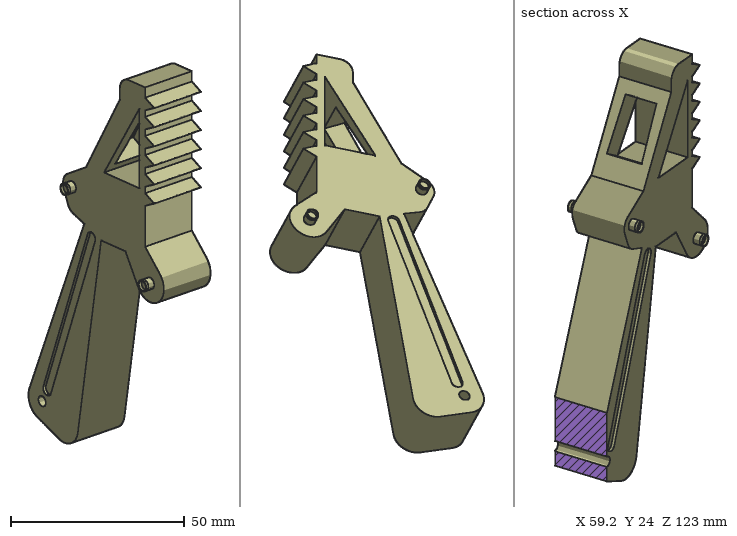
import cadquery as cq
import math


thickness = 18.0
top_z = 54.23

jaw_top_left_x = -11.1
jaw_corner_radius = 4.0
wall_bottom_x = -25.8
wall_bottom_z = 20.9
window_bottom_z = 21.75
window_height = 25.0
window_top_z = window_bottom_z + window_height
front_wall = 2.5
window_width = 15.4

tooth_count = 6
tooth_pitch = 6.0
tooth_base = 4.0
tooth_length = 4.0
first_tooth_z = 49.0

rear_pin = (-31.9, 12.75)
rear_boss_radius = 4.0
rear_heel = (-30.1, 8.3)
rear_notch = (-26.6, 2.8)

arm_pin = (2.2, -6.55)
arm_radius = 6.0
arm_top_z = 4.2
arm_root_x = -8.6

handle_hole = (-44.99, -58.8)
handle_hole_radius = 1.6
handle_corner_radius = 6.0
handle_tip = (-35.3, -62.75)
handle_root_x = -19.2

groove_top = (-23.5, -0.6)
groove_bottom = (-42.75, -54.5)
groove_radius = 1.75
groove_depth = 1.0

opening_start = 7.3
opening_length = 18.0
opening_bottom_width = 12.0
opening_top_width = 10.7
opening_depth = 8.0

pin_radius = 1.75
shank_length = 2.0
tip_length = 1.0
tip_bore_radius = 1.5


def tangent_normal(start, end):
    """Outward normal of the line touching two rounds, both turned anticlockwise."""
    (x0, z0, r0), (x1, z1, r1) = start, end
    heading = math.atan2(z1 - z0, x1 - x0)
    angle = heading - math.acos((r0 - r1) / math.hypot(x1 - x0, z1 - z0))
    return math.cos(angle), math.sin(angle)


def point_on(corner, normal):
    x, z, radius = corner
    return x + radius * normal[0], z + radius * normal[1]


def rounded_outline(corners):
    """Closed outline from anticlockwise (x, z, radius) corners; radius 0 is a sharp corner."""
    count = len(corners)
    normals = [tangent_normal(corners[i], corners[(i + 1) % count]) for i in range(count)]
    outline = cq.Workplane("XZ").moveTo(*point_on(corners[0], normals[0]))
    for i in range(1, count + 1):
        corner = corners[i % count]
        arriving = normals[i - 1]
        leaving = normals[i % count]
        outline = outline.lineTo(*point_on(corner, arriving))
        if corner[2] > 0:
            start_angle = math.atan2(arriving[1], arriving[0])
            sweep = (math.atan2(leaving[1], leaving[0]) - start_angle) % (2 * math.pi)
            middle_angle = start_angle + sweep / 2
            middle = (math.cos(middle_angle), math.sin(middle_angle))
            outline = outline.threePointArc(point_on(corner, middle), point_on(corner, leaving))
    return outline.close()


def make_plate():
    corners = [
        (0, top_z, 0),
        (jaw_top_left_x + jaw_corner_radius, top_z - jaw_corner_radius, jaw_corner_radius),
        (jaw_top_left_x, window_top_z, 0),
        (wall_bottom_x, wall_bottom_z, 0),
        (*rear_pin, rear_boss_radius),
        (*rear_heel, rear_boss_radius),
        (*rear_notch, 0),
        (*handle_hole, handle_corner_radius),
        (*handle_tip, handle_corner_radius),
        (handle_root_x, 0, 0),
        (arm_root_x, 0, 0),
        (*arm_pin, arm_radius),
        (0, arm_top_z, 0),
    ]
    return rounded_outline(corners).extrude(thickness / 2, both=True)


def make_teeth():
    teeth = cq.Workplane("XZ")
    root = -front_wall / 2
    for i in range(tooth_count):
        z = first_tooth_z - i * tooth_pitch
        teeth = teeth.polyline([
            (root, z - tooth_base / 2),
            (0, z - tooth_base / 2),
            (tooth_length, z),
            (0, z + tooth_base / 2),
            (root, z + tooth_base / 2),
        ]).close()
    return teeth.extrude(thickness / 2, both=True)


def make_window():
    right = -front_wall
    points = [
        (right, window_bottom_z),
        (right, window_top_z),
        (right - window_width, window_bottom_z),
    ]
    return cq.Workplane("XZ").polyline(points).close().extrude(thickness, both=True)


def make_wall_opening():
    run = jaw_top_left_x - wall_bottom_x
    slope = math.atan2(window_top_z - wall_bottom_z, run)
    along = cq.Vector(math.cos(slope), 0, math.sin(slope))
    outward = cq.Vector(-math.sin(slope), 0, math.cos(slope))
    origin = cq.Vector(wall_bottom_x, 0, wall_bottom_z)
    opening_end = opening_start + opening_length
    points = [
        (opening_start, -opening_bottom_width / 2),
        (opening_end, -opening_top_width / 2),
        (opening_end, opening_top_width / 2),
        (opening_start, opening_bottom_width / 2),
    ]
    wall_face = cq.Plane(origin=origin, xDir=along, normal=outward)
    return cq.Workplane(wall_face).polyline(points).close().extrude(-opening_depth)


def make_handle_hole():
    return cq.Workplane("XZ").center(*handle_hole).circle(handle_hole_radius).extrude(thickness, both=True)


def make_groove(side):
    ends = [(*groove_top, groove_radius), (*groove_bottom, groove_radius)]
    face_y = side * thickness / 2
    groove = rounded_outline(ends).extrude(groove_depth, both=True)
    return groove.translate((0, face_y, 0))


def make_pin(centre, side):
    """Pin with a hollow tip, standing on one side face."""
    plane = cq.Plane(
        origin=(centre[0], side * thickness / 2, centre[1]),
        xDir=(1, 0, 0),
        normal=(0, side, 0),
    )
    shank = cq.Workplane(plane).circle(pin_radius).extrude(shank_length)
    tip = (
        cq.Workplane(plane)
        .workplane(offset=shank_length)
        .circle(pin_radius)
        .circle(tip_bore_radius)
        .extrude(tip_length)
    )
    return shank.union(tip)


result = make_plate().union(make_teeth())
result = result.cut(make_window()).cut(make_wall_opening()).cut(make_handle_hole())
for side in (-1, 1):
    result = result.cut(make_groove(side))
    for centre in (rear_pin, arm_pin):
        result = result.union(make_pin(centre, side))